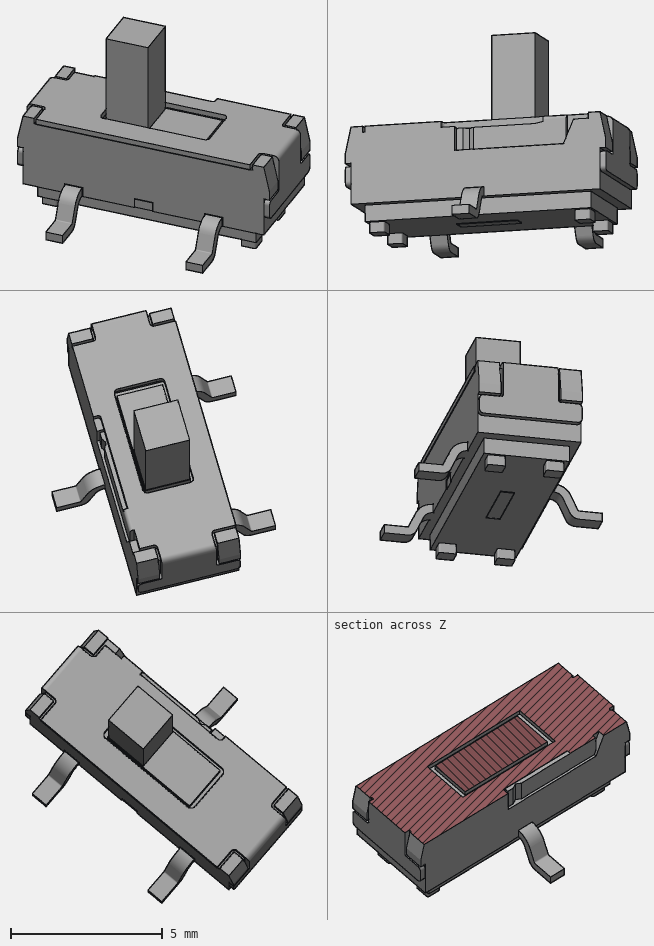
import cadquery as cq
import math

base_bottom_z = 0.35
body_bottom_z = 0.9
total_body_z = 3.5
knob_top_z = 6.5

sheet = 0.2
cover_overhang = 0.025
cover_bend_radius = 0.198
joint_gap = 0.085
cover_under_z = total_body_z - sheet

overall_length = 9.0
body_width = 3.5
half_length = overall_length / 2
wall_x = half_length - sheet
half_width = body_width / 2
base_length = 7.8
base_width = 2.9

post_inner_x = 3.9
post_inner_y = 1.015
post_bottom_z = 2.28
post_slope_z = 2.6

tab_top_z = post_bottom_z - joint_gap
tab_bottom_z = 1.52
tab_corner_radius = 0.15
tab_side_inset = 0.01
notch_radius = 0.12
cover_half_x = post_inner_x - joint_gap
cover_half_y = post_inner_y - joint_gap

window_length = 3.88
window_width = 1.72
window_radius = 0.15
pocket_floor_z = 3.1
pocket_undercut = 0.04

knob_side = 1.5
knob_x = -1.0
plate_length = 3.55
plate_width = 1.56
plate_top_z = 3.33

terminal_width = 0.6
terminal_thickness = 0.3
terminal_top_z = 1.2
terminal_reach = 3.4
terminal_bend_radius = 0.35
terminal_heel_radius = 0.05
terminal_bend_angle = math.radians(65)
terminal_pitch = 5.0
slot_clearance = 0.025
blank_slot_depth = 0.03

peg_length = 0.53
peg_width = 0.6
peg_edge_radius = 0.06
peg_x = 3.55
peg_y = 0.99
pad_length = 2.1
pad_width = 0.47
pad_thickness = 0.03
pad_x = 0.07

recess_depth = 0.24
recess_end_x = 1.18
recess_radius = 0.1
trough_start_x = -3.39
trough_end_x = 0.73
trough_floor_z = 2.5
trough_ramp = 0.35
leaf_thickness = 0.15
leaf_bend_radius = 0.135
leaf_start_x = -2.3
leaf_bend_start_x = -3.11
leaf_slope_end_x = -2.0
leaf_top_z = 3.25
leaf_end_gap = 0.05
detent_x = 0.27
detent_half_length = 0.18
detent_depth = 0.1


def block(x0, x1, y0, y1, z0, z1):
    """Box between two opposite corners."""
    return cq.Workplane("XY").box(x1 - x0, y1 - y0, z1 - z0, centered=False).translate((x0, y0, z0))


def centred_block(length, width, z0, z1):
    """Box centred on the Z axis."""
    return block(-length / 2, length / 2, -width / 2, width / 2, z0, z1)


def on_both_ends(shape):
    """The shape and its mirror image at the -X end."""
    return shape.union(shape.mirror("YZ"))


def on_both_sides(shape):
    """The shape and its mirror image at the -Y side."""
    return shape.union(shape.mirror("XZ"))


def corner_posts():
    """Four posts level with the cover top, sloped on their outer ends."""
    profile = [
        (post_inner_x, cover_under_z),
        (post_inner_x, total_body_z),
        (wall_x, total_body_z),
        (half_length, post_slope_z),
        (half_length, post_bottom_z),
        (wall_x, post_bottom_z),
        (wall_x, cover_under_z),
    ]
    post = (
        cq.Workplane("XZ", origin=(0, half_width, 0))
        .polyline(profile)
        .close()
        .extrude(half_width - post_inner_y)
    )
    return on_both_ends(on_both_sides(post))


def cover_top():
    """Cover sheet with notched corners, bent down over both ends."""
    middle = block(
        -cover_half_x, cover_half_x, -half_width - cover_overhang, half_width, cover_under_z, total_body_z
    )
    strip = centred_block(overall_length, 2 * cover_half_y, cover_under_z, total_body_z)
    strip = strip.edges("|Y and >Z").fillet(cover_bend_radius)
    return middle.union(strip)


def notch_fillet():
    """Material that rounds the inner corner of one cover notch."""
    square = block(
        cover_half_x,
        cover_half_x + notch_radius,
        cover_half_y,
        cover_half_y + notch_radius,
        cover_under_z,
        total_body_z,
    )
    round_bore = (
        cq.Workplane("XY", origin=(cover_half_x + notch_radius, cover_half_y + notch_radius, cover_under_z))
        .circle(notch_radius)
        .extrude(sheet)
    )
    return on_both_ends(on_both_sides(square.cut(round_bore)))


def end_tabs():
    """T-shaped end tabs of the cover, flat against the end walls."""
    foot_half_y = half_width - tab_side_inset
    foot = block(wall_x, half_length, -foot_half_y, foot_half_y, tab_bottom_z, tab_top_z)
    foot = foot.edges("|X").fillet(tab_corner_radius)
    neck = block(wall_x, half_length, -cover_half_y, cover_half_y, tab_top_z - sheet, total_body_z - sheet)
    tab = foot.union(neck)
    inner_corners = cq.selectors.BoxSelector(
        (wall_x - sheet, -post_inner_y, tab_top_z - joint_gap),
        (half_length + sheet, post_inner_y, tab_top_z + joint_gap),
    )
    tab = tab.edges("|X").edges(inner_corners).fillet(joint_gap)
    return on_both_ends(tab)


def terminal(x, side):
    """Gull-wing terminal that leaves the wall on the given side (-1 front, 1 rear)."""
    outer_radius = terminal_bend_radius + terminal_thickness
    centre_z = terminal_top_z - outer_radius
    sin_bend = math.sin(terminal_bend_angle)
    cos_bend = math.cos(terminal_bend_angle)
    half_sin = math.sin(terminal_bend_angle / 2)
    half_cos = math.cos(terminal_bend_angle / 2)

    def bend_point(radius, sine, cosine):
        return (half_width + radius * sine, centre_z + radius * cosine)

    outer_end = bend_point(outer_radius, sin_bend, cos_bend)
    inner_end = bend_point(terminal_bend_radius, sin_bend, cos_bend)
    heel_z = terminal_thickness + terminal_heel_radius
    heel_outer_radius = heel_z
    slope_drop = outer_end[1] - heel_z + terminal_heel_radius * cos_bend
    slope_run = slope_drop * cos_bend / sin_bend
    heel_y = outer_end[0] + slope_run + terminal_heel_radius * sin_bend

    def heel_point(radius, sine, cosine):
        return (heel_y - radius * sine, heel_z - radius * cosine)

    profile = (
        cq.Workplane("YZ", origin=(x - terminal_width / 2, 0, 0))
        .moveTo(half_width, terminal_top_z)
        .threePointArc(bend_point(outer_radius, half_sin, half_cos), outer_end)
        .lineTo(*heel_point(terminal_heel_radius, sin_bend, cos_bend))
        .threePointArc(
            heel_point(terminal_heel_radius, half_sin, half_cos),
            (heel_y, terminal_thickness),
        )
        .lineTo(terminal_reach, terminal_thickness)
        .lineTo(terminal_reach, 0)
        .lineTo(heel_y, 0)
        .threePointArc(
            heel_point(heel_outer_radius, half_sin, half_cos),
            heel_point(heel_outer_radius, sin_bend, cos_bend),
        )
        .lineTo(*inner_end)
        .threePointArc(
            bend_point(terminal_bend_radius, half_sin, half_cos),
            (half_width, terminal_top_z - terminal_thickness),
        )
        .close()
    )
    shape = profile.extrude(terminal_width)
    return shape if side > 0 else shape.mirror("XZ")


def blank_slot(x):
    """Shallow terminal slot in the lower edge of the front wall."""
    half_slot = terminal_width / 2 + slot_clearance
    return block(
        x - half_slot,
        x + half_slot,
        -half_width,
        -half_width + blank_slot_depth,
        body_bottom_z,
        terminal_top_z + slot_clearance,
    )


def peg(x, y):
    """Locating peg under the base, with rounded edges."""
    shape = cq.Workplane("XY").box(peg_length, peg_width, base_bottom_z, centered=(True, True, False))
    shape = shape.edges("|Z").fillet(peg_edge_radius)
    return shape.translate((x, y, 0))


def rear_recess():
    """Strip cut from the rear edge of the cover, with one rounded corner."""
    shape = block(
        -cover_half_x, recess_end_x, half_width - recess_depth, half_width, cover_under_z, total_body_z
    )
    return shape.edges("|Z and >X and <Y").fillet(recess_radius)


def detent_trough():
    """Trough in the rear edge of the body, with a ramp at its -X end."""
    return (
        cq.Workplane("XZ", origin=(0, half_width, 0))
        .moveTo(trough_start_x, cover_under_z)
        .lineTo(trough_start_x + trough_ramp, trough_floor_z)
        .lineTo(trough_end_x, trough_floor_z)
        .lineTo(trough_end_x, cover_under_z)
        .close()
        .extrude(recess_depth)
    )


def detent_leaf():
    """Spring leaf bent down from the cover into the trough, with a V-shaped detent."""
    leaf_y0 = half_width - recess_depth
    leaf_y1 = leaf_y0 + leaf_thickness
    leaf_end_x = trough_end_x - leaf_end_gap
    root = block(leaf_bend_start_x, leaf_start_x, leaf_y0, leaf_y1, trough_floor_z, total_body_z)
    root = root.edges("|X and >Y and >Z").fillet(leaf_bend_radius)
    arm = (
        cq.Workplane("XZ", origin=(0, leaf_y1, 0))
        .moveTo(leaf_start_x, trough_floor_z)
        .lineTo(leaf_start_x, cover_under_z)
        .lineTo(leaf_slope_end_x, leaf_top_z)
        .lineTo(leaf_end_x, leaf_top_z)
        .lineTo(leaf_end_x, trough_floor_z)
        .close()
        .extrude(leaf_thickness)
    )
    detent = (
        cq.Workplane("XY", origin=(0, 0, trough_floor_z))
        .moveTo(detent_x - detent_half_length, leaf_y1)
        .lineTo(detent_x, leaf_y1 - detent_depth)
        .lineTo(detent_x + detent_half_length, leaf_y1)
        .close()
        .extrude(total_body_z - trough_floor_z)
    )
    return root.union(arm.cut(detent))


def make_housing():
    body = centred_block(2 * wall_x, body_width, body_bottom_z, cover_under_z)
    body = body.union(centred_block(base_length, base_width, base_bottom_z, body_bottom_z))
    pad = centred_block(pad_length, pad_width, base_bottom_z - pad_thickness, base_bottom_z)
    body = body.union(pad.translate((pad_x, 0, 0)))
    for x in (-peg_x, peg_x):
        for y in (-peg_y, peg_y):
            body = body.union(peg(x, y))
    body = body.union(corner_posts())
    body = body.union(cover_top().union(notch_fillet()).union(end_tabs()))

    window = centred_block(window_length, window_width, cover_under_z, total_body_z)
    body = body.cut(window.edges("|Z").fillet(window_radius))
    pocket_length = window_length + 2 * pocket_undercut
    pocket_width = window_width + 2 * pocket_undercut
    body = body.cut(centred_block(pocket_length, pocket_width, pocket_floor_z, cover_under_z))
    body = body.cut(rear_recess()).cut(detent_trough())
    body = body.union(detent_leaf())

    for x in (-terminal_pitch / 2, 0, terminal_pitch / 2):
        body = body.cut(blank_slot(x))
    for x in (-terminal_pitch / 2, terminal_pitch / 2):
        root = block(
            x - terminal_width / 2,
            x + terminal_width / 2,
            -half_width,
            -half_width + blank_slot_depth,
            terminal_top_z - terminal_thickness,
            terminal_top_z,
        )
        body = body.union(root).union(terminal(x, -1))
    return body.union(terminal(0, 1))


def make_slider():
    plate = centred_block(plate_length, plate_width, pocket_floor_z, plate_top_z)
    knob = centred_block(knob_side, knob_side, pocket_floor_z, knob_top_z).translate((knob_x, 0, 0))
    return plate.union(knob)


housing = make_housing()
slider = make_slider()

result = cq.Compound.makeCompound([housing.val(), slider.val()])